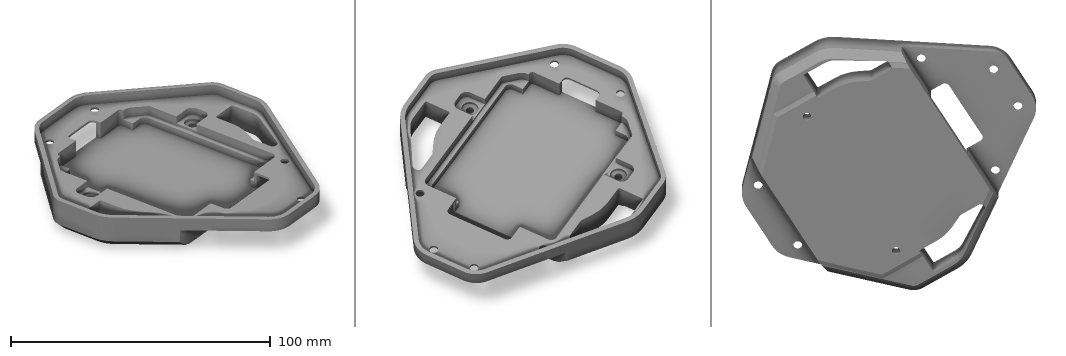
import cadquery as cq
import math

LENGTH = 118.3
WIDTH = 106.0
HEIGHT = 14.7
HALF_LENGTH = LENGTH / 2
HALF_WIDTH = WIDTH / 2

LEFT_CORNER_Y = 14.1
TOP_LEFT_X = -20.4
TOP_RIGHT_X = 2.5
RIGHT_CORNER_Y = 13.4
LEFT_RADIUS = 10.7
TOP_LEFT_RADIUS = 7.0
TOP_RIGHT_RADIUS = 14.0
RIGHT_RADIUS = 9.9

TRAY_DEPTH = 5.5
TRAY_BOTTOM = HEIGHT - TRAY_DEPTH
PLATE_THICKNESS = 1.0
PLATE_TOP = TRAY_BOTTOM + PLATE_THICKNESS
RIM_WIDTH = 1.9

BLOCK_LEFT = -45.2
BLOCK_RIGHT = 27.0
FOOT_Z = 0.7
FOOT_CHAMFER = 3.2
PAD_INSET = 5.2
PAD_HALF_WIDTH = 38.7
PAD_SPREAD = 1.8

FLOOR_Z = 3.0
LEDGE_Z = 6.0
STEP_LEFT = -41.2
STEP_RIGHT = 25.9
STEP_HALF_WIDTH = 29.1
STEP_BEVEL = 6.2
BEVEL_LOWER_RADIUS = 4.7
BEVEL_UPPER_RADIUS = 1.2
LEDGE_WIDTH = 1.9
WELL_LEFT = -36.7
POCKET_RADIUS = 2.5
BAY_LEFT = -43.1
BAY_HALF_WIDTH = 20.6
BAY_RADIUS = 1.3

LEFT_SLOT_END = -47.5
LEFT_SLOT_WIDTH = 16.1
RIGHT_WINDOW_END = 34.1
RIGHT_WINDOW_WIDTH = 28.3
OPENING_RADIUS = 2.0

SCREW_X = -17.4
SCREW_Y = 33.0
RECESS_WIDTH = 9.5
RECESS_END_Y = 38.5
RECESS_RADIUS = 3.0
RECESS_Z = 7.1
SCREW_HEAD_DIAMETER = 6.5
SCREW_HEAD_DEPTH = 1.1
SCREW_DIAMETER = 3.2

MOUNT_DIAMETER = 3.4
MOUNT_HOLES = [(-50.6, 14.7), (30.8, 27.5), (52.2, 9.0)]

OPENING_LEFT = -9.8
OPENING_RIGHT = 21.3
OPENING_OUTER_Y = 48.4
OPENING_INNER_Y = 37.5
TIP_LOWER_Y = 33.0
TIP_UPPER_Y = 36.2
INNER_BEND_X = 2.5
INNER_BEND_RADIUS = 20.1
OUTER_BEND_X = 2.1
OUTER_BEND_RADIUS = 8.3
TIP_START_X = 11.6
TIP_LOWER_RADIUS = 1.4
TIP_UPPER_RADIUS = 1.9
OPENING_CORNER_RADIUS = 0.6
SIDE_OPENING = [
    (OPENING_LEFT, OPENING_INNER_Y, OPENING_CORNER_RADIUS),
    (INNER_BEND_X, OPENING_INNER_Y, INNER_BEND_RADIUS),
    (TIP_START_X, TIP_LOWER_Y, OPENING_CORNER_RADIUS),
    (OPENING_RIGHT, TIP_LOWER_Y, TIP_LOWER_RADIUS),
    (OPENING_RIGHT, TIP_UPPER_Y, TIP_UPPER_RADIUS),
    (OUTER_BEND_X, OPENING_OUTER_Y, OUTER_BEND_RADIUS),
    (OPENING_LEFT, OPENING_OUTER_Y, OPENING_CORNER_RADIUS),
]


def rounded_polygon(corners, z):
    """Closed outline at height z from (x, y, radius) corners, with tangent arcs at the corners."""
    spans = []
    for i, (x, y, radius) in enumerate(corners):
        here = cq.Vector(x, y)
        to_previous = (cq.Vector(*corners[i - 1][:2]) - here).normalized()
        to_next = (cq.Vector(*corners[(i + 1) % len(corners)][:2]) - here).normalized()
        half_angle = to_previous.getAngle(to_next) / 2
        setback = radius / math.tan(half_angle)
        bisector = (to_previous + to_next).normalized()
        arc_middle = here + bisector * (radius / math.sin(half_angle) - radius)
        spans.append((here + to_previous * setback, arc_middle, here + to_next * setback))
    start = spans[0][2].toTuple()[:2]
    wire = cq.Workplane("XY", origin=(0, 0, z)).moveTo(*start)
    for arc_start, arc_middle, arc_end in spans[1:] + spans[:1]:
        wire = wire.lineTo(*arc_start.toTuple()[:2])
        wire = wire.threePointArc(arc_middle.toTuple()[:2], arc_end.toTuple()[:2])
    return wire.close()


def mirrored_corners(upper_half):
    """Complete a +Y chain of corners with its mirror image in -Y."""
    return upper_half + [(x, -y, radius) for x, y, radius in reversed(upper_half)]


def box_between(x0, x1, half_width, z0, z1):
    """Box centred on Y = 0."""
    base = cq.Workplane("XY", origin=(x0, 0, z0))
    return base.box(x1 - x0, 2 * half_width, z1 - z0, centered=(False, True, False))


def on_both_sides(solid):
    """The solid together with its mirror image in -Y."""
    return solid.union(solid.mirror("XZ"))


OUTLINE = mirrored_corners([
    (-HALF_LENGTH, LEFT_CORNER_Y, LEFT_RADIUS),
    (TOP_LEFT_X, HALF_WIDTH, TOP_LEFT_RADIUS),
    (TOP_RIGHT_X, HALF_WIDTH, TOP_RIGHT_RADIUS),
    (HALF_LENGTH, RIGHT_CORNER_Y, RIGHT_RADIUS),
])


def make_pad():
    """Shallow frustum under the foot, with slanted edges parallel to the outline."""
    left_angle = math.atan2(HALF_WIDTH - LEFT_CORNER_Y, TOP_LEFT_X + HALF_LENGTH)
    right_angle = math.atan2(HALF_WIDTH - RIGHT_CORNER_Y, HALF_LENGTH - TOP_RIGHT_X)

    def pad_corners(inset, half_width):
        drop = HALF_WIDTH - half_width
        top_left = TOP_LEFT_X + inset / math.sin(left_angle) - drop / math.tan(left_angle)
        top_right = TOP_RIGHT_X - inset / math.sin(right_angle) + drop / math.tan(right_angle)
        left_y = half_width - (top_left - BLOCK_LEFT) * math.tan(left_angle)
        right_y = half_width - (BLOCK_RIGHT - top_right) * math.tan(right_angle)
        upper = [
            (BLOCK_LEFT, left_y),
            (top_left, half_width),
            (top_right, half_width),
            (BLOCK_RIGHT, right_y),
        ]
        return upper + [(x, -y) for x, y in reversed(upper)]

    return (
        cq.Workplane("XY")
        .polyline(pad_corners(PAD_INSET, PAD_HALF_WIDTH))
        .close()
        .workplane(offset=FOOT_Z)
        .polyline(pad_corners(PAD_INSET - PAD_SPREAD, PAD_HALF_WIDTH + PAD_SPREAD))
        .close()
        .loft(ruled=True)
    )


def make_body():
    """Full-outline body, chamfered below and trimmed to the block under the tray."""
    body = rounded_polygon(OUTLINE, FOOT_Z).extrude(HEIGHT - FOOT_Z).faces("<Z").chamfer(FOOT_CHAMFER)
    body = body.cut(box_between(-LENGTH, BLOCK_LEFT, WIDTH, 0, TRAY_BOTTOM))
    body = body.cut(box_between(BLOCK_RIGHT, LENGTH, WIDTH, 0, TRAY_BOTTOM))
    tray = rounded_polygon(OUTLINE, PLATE_TOP).offset2D(-RIM_WIDTH).extrude(TRAY_DEPTH)
    return body.cut(tray).union(make_pad())


def make_pocket():
    """Upper step with bevelled left corners, over the deeper well and its bay to the left."""
    step_corners = mirrored_corners([
        (STEP_LEFT, STEP_HALF_WIDTH - STEP_BEVEL, BEVEL_LOWER_RADIUS),
        (STEP_LEFT + STEP_BEVEL, STEP_HALF_WIDTH, BEVEL_UPPER_RADIUS),
        (STEP_RIGHT, STEP_HALF_WIDTH, POCKET_RADIUS),
    ])
    well_half_width = STEP_HALF_WIDTH - LEDGE_WIDTH
    well_corners = mirrored_corners([
        (WELL_LEFT, well_half_width, POCKET_RADIUS),
        (STEP_RIGHT - LEDGE_WIDTH, well_half_width, POCKET_RADIUS),
    ])
    step = rounded_polygon(step_corners, LEDGE_Z).extrude(PLATE_TOP - LEDGE_Z)
    well = rounded_polygon(well_corners, FLOOR_Z).extrude(PLATE_TOP - FLOOR_Z)
    bay = box_between(BAY_LEFT, 0, BAY_HALF_WIDTH, FLOOR_Z, PLATE_TOP)
    bay = bay.edges("|Z and <X").fillet(BAY_RADIUS)
    return step.union(well).union(bay)


def make_end_openings():
    """Openings through both block ends and the plate beside them."""
    left = box_between(LEFT_SLOT_END, 0, LEFT_SLOT_WIDTH / 2, FLOOR_Z, PLATE_TOP)
    left = left.edges("|Z and <X").fillet(OPENING_RADIUS)
    right = box_between(0, RIGHT_WINDOW_END, RIGHT_WINDOW_WIDTH / 2, FLOOR_Z, PLATE_TOP)
    right = right.edges("|Z and >X").fillet(OPENING_RADIUS)
    return left.union(right)


def make_screw_recesses():
    """Recesses joining the pocket, each with a counterbored screw hole."""
    recess = (
        box_between(SCREW_X - RECESS_WIDTH / 2, SCREW_X + RECESS_WIDTH / 2, RECESS_END_Y, RECESS_Z, PLATE_TOP)
        .edges("|Z")
        .fillet(RECESS_RADIUS)
    )
    screw = cq.Workplane("XY").center(SCREW_X, SCREW_Y)
    hole = screw.circle(SCREW_DIAMETER / 2).extrude(RECESS_Z)
    head = screw.workplane(offset=RECESS_Z - SCREW_HEAD_DEPTH)
    head = head.circle(SCREW_HEAD_DIAMETER / 2).extrude(SCREW_HEAD_DEPTH)
    return recess.union(on_both_sides(hole.union(head)))


def make_mount_holes():
    """Small round holes through the plate."""
    holes = (
        cq.Workplane("XY", origin=(0, 0, TRAY_BOTTOM))
        .pushPoints(MOUNT_HOLES)
        .circle(MOUNT_DIAMETER / 2)
        .extrude(PLATE_THICKNESS)
    )
    return on_both_sides(holes)


def make_side_openings():
    """Curved openings right through the block and the plate."""
    return on_both_sides(rounded_polygon(SIDE_OPENING, 0).extrude(HEIGHT))


result = (
    make_body()
    .cut(make_pocket())
    .cut(make_end_openings())
    .cut(make_screw_recesses())
    .cut(make_mount_holes())
    .cut(make_side_openings())
)